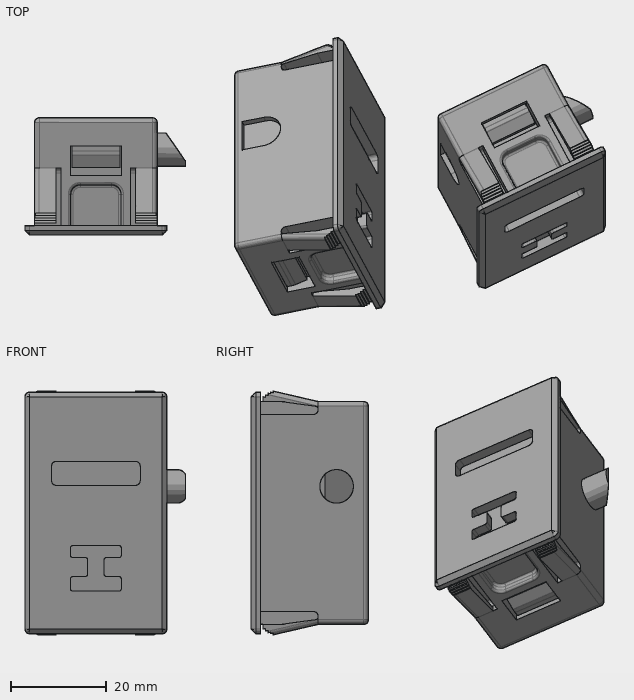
import cadquery as cq
import math


PLATE_WIDTH = 29.6
PLATE_HEIGHT = 50.4
PLATE_THICKNESS = 2.0
PLATE_EDGE = 1.0

TOTAL_DEPTH = 24.5
BODY_WIDTH = 25.6
BODY_HEIGHT = 46.5
BODY_RADIUS = 1.0
HALF_WIDTH = BODY_WIDTH / 2
HALF_HEIGHT = BODY_HEIGHT / 2

CLIP_ROOT_Y = 14.0
CLIP_WIDTH = 4.5
CLIP_GAP = 1.05
CLIP_SPAN = 50.86
CLIP_TOP = CLIP_SPAN / 2
CLIP_PEAK_Y = 4.6
CLIP_TIP_Y = 2.5
CLIP_KNEE_Y = 6.1
CLIP_ROOT_THICKNESS = 1.0
CLIP_ROOT_RADIUS = 0.6
CLIP_EDGE_RADIUS = 0.98
TOOTH_TIP_DROPS = (0.25, 0.45, 0.8, 1.2)
TOOTH_RISE = 0.07
SLOT_DEPTH = 2.7
SLOT_RADIUS = 1.0

WINDOW_WIDTH = 10.6
WINDOW_FRONT_Y = 12.5
WINDOW_BACK_Y = 18.6
WINDOW_DEPTH = 3.0
RAMP_SIDE_GAP = 0.27
RAMP_TOP_DEPTH = 1.2
RAMP_FLAT_LENGTH = 1.0
RAMP_FRONT_Y = 14.15
RAMP_ANGLE = 15.0
RAMP_RADIUS = 3.5

RECESS_WIDTH = 10.5
RECESS_BACK_Y = 10.5
RECESS_DEPTH = 2.0
RECESS_CORNER_RADIUS = 2.0
RECESS_FILLET = 0.5

BOLT_Y = 17.85
BOLT_Z = 5.55
BOLT_RADIUS = 3.5
BOLT_PROJECTION = 3.9
BOLT_TIP_X = PLATE_WIDTH / 2 + BOLT_PROJECTION
BOLT_TIP_LENGTH = 1.1
BOLT_SLANT_RUN = 4.1
BOLT_SHOULDER_X = BOLT_TIP_X - BOLT_SLANT_RUN
POCKET_RADIUS = 3.7
POCKET_BACK_Y = 22.6
POCKET_DEPTH = 1.3

FRONT_RECESS_DEPTH = 2.0
BAR_WIDTH = 18.5
BAR_HEIGHT = 5.0
BAR_Z = 8.25
BAR_RADIUS = 1.0
SYMBOL_WIDTH = 10.6
SYMBOL_TOP_Z = -6.8
SYMBOL_UPPER_HEIGHT = 2.5
SYMBOL_WEB_HEIGHT = 3.95
SYMBOL_LOWER_HEIGHT = 3.05
SYMBOL_WEB_WIDTH = 3.4
SYMBOL_RADIUS = 0.5


def box(x_range, y_range, z_range):
    """Axis-aligned box between pairs of limits."""
    size = [high - low for low, high in (x_range, y_range, z_range)]
    corner = (x_range[0], y_range[0], z_range[0])
    return cq.Workplane("XY").box(*size, centered=False).translate(corner)


def yz_prism(points, x_range):
    """Closed outline of (y, z) points, extruded between two X limits."""
    outline = cq.Workplane("YZ", origin=(x_range[0], 0, 0)).polyline(points).close()
    return outline.extrude(x_range[1] - x_range[0])


def both_ends(shape):
    """The shape together with its copy on the opposite Z end."""
    return shape.union(shape.mirror("XY"))


def all_corners(shape):
    """The shape repeated at the four X-Z corners of the body."""
    return both_ends(shape.union(shape.mirror("YZ")))


def make_plate():
    plate = cq.Workplane("XZ").rect(PLATE_WIDTH, PLATE_HEIGHT).extrude(-PLATE_THICKNESS)
    return plate.edges("|Y").fillet(PLATE_EDGE).faces("<Y").chamfer(PLATE_EDGE)


def make_body():
    outline = cq.Workplane("XZ", origin=(0, PLATE_THICKNESS, 0)).rect(BODY_WIDTH, BODY_HEIGHT)
    body = outline.extrude(PLATE_THICKNESS - TOTAL_DEPTH)
    return body.edges("|Y").fillet(BODY_RADIUS).faces(">Y").edges().fillet(BODY_RADIUS)


def make_clip_slot():
    """Corner slot under and beside the clip at the +X, +Z corner."""
    slot = box(
        (HALF_WIDTH - CLIP_WIDTH - CLIP_GAP, HALF_WIDTH),
        (PLATE_THICKNESS, CLIP_ROOT_Y),
        (HALF_HEIGHT - SLOT_DEPTH, HALF_HEIGHT),
    )
    return slot.edges("|X and >Y and <Z").fillet(SLOT_RADIUS)


def make_clip():
    """Clip at the +X, +Z corner: a wedge rising toward the plate, with a toothed tip."""
    rise_per_length = (CLIP_TOP - HALF_HEIGHT) / (CLIP_ROOT_Y - CLIP_PEAK_Y)
    blank_top = CLIP_TOP + rise_per_length * (CLIP_PEAK_Y - CLIP_TIP_Y)
    underside_z = HALF_HEIGHT - CLIP_ROOT_THICKNESS
    arc_inset = CLIP_ROOT_RADIUS * (1 - math.sqrt(0.5))
    blank = (
        cq.Workplane("YZ", origin=(HALF_WIDTH - CLIP_WIDTH, 0, 0))
        .moveTo(CLIP_ROOT_Y, HALF_HEIGHT)
        .lineTo(CLIP_TIP_Y, blank_top)
        .lineTo(CLIP_TIP_Y, HALF_HEIGHT)
        .lineTo(CLIP_KNEE_Y, HALF_HEIGHT)
        .lineTo(CLIP_ROOT_Y - CLIP_ROOT_RADIUS, underside_z)
        .threePointArc(
            (CLIP_ROOT_Y - arc_inset, underside_z - arc_inset),
            (CLIP_ROOT_Y, underside_z - CLIP_ROOT_RADIUS),
        )
        .close()
        .extrude(CLIP_WIDTH)
    )
    top_outer_edge = cq.selectors.NearestToPointSelector(
        (HALF_WIDTH, (CLIP_ROOT_Y + CLIP_TIP_Y) / 2, (HALF_HEIGHT + blank_top) / 2)
    )
    rounded = blank.edges(top_outer_edge).fillet(CLIP_EDGE_RADIUS)

    pitch = (CLIP_PEAK_Y - CLIP_TIP_Y) / len(TOOTH_TIP_DROPS)
    points = [(CLIP_PEAK_Y, blank_top)]
    for index, drop in enumerate(TOOTH_TIP_DROPS):
        tip_z = CLIP_TOP - drop
        points.append((CLIP_PEAK_Y - index * pitch, tip_z - TOOTH_RISE))
        points.append((CLIP_PEAK_Y - (index + 1) * pitch, tip_z))
    points.append((CLIP_TIP_Y, blank_top))
    return rounded.cut(yz_prism(points, (HALF_WIDTH - CLIP_WIDTH, HALF_WIDTH)))


def make_window():
    """Window in the +Z end, less the ramp that stands in it."""
    half_window = WINDOW_WIDTH / 2
    floor_z = HALF_HEIGHT - WINDOW_DEPTH
    window = box(
        (-half_window, half_window),
        (WINDOW_FRONT_Y, WINDOW_BACK_Y),
        (floor_z, HALF_HEIGHT),
    )
    half_ramp = half_window - RAMP_SIDE_GAP
    angle = math.radians(RAMP_ANGLE)
    crest_z = HALF_HEIGHT - RAMP_TOP_DEPTH
    crest_y = WINDOW_BACK_Y - RAMP_FLAT_LENGTH - RAMP_RADIUS * math.tan(angle / 2)
    front_z = crest_z - (crest_y - RAMP_FRONT_Y) * math.tan(angle)
    ramp = yz_prism(
        [
            (WINDOW_BACK_Y, floor_z),
            (WINDOW_BACK_Y, crest_z),
            (crest_y, crest_z),
            (RAMP_FRONT_Y, front_z),
            (RAMP_FRONT_Y, floor_z),
        ],
        (-half_ramp, half_ramp),
    )
    crest = cq.selectors.NearestToPointSelector((0, crest_y, crest_z))
    return window.cut(ramp.edges(crest).fillet(RAMP_RADIUS))


def cut_thumb_recesses(body):
    """Cut a thumb recess into each Z end of the body and round its rim and floor."""
    half_recess = RECESS_WIDTH / 2
    floor_z = HALF_HEIGHT - RECESS_DEPTH
    recess = box(
        (-half_recess, half_recess),
        (PLATE_THICKNESS, RECESS_BACK_Y),
        (floor_z, HALF_HEIGHT),
    )
    recess = recess.edges("|Z and >Y").fillet(RECESS_CORNER_RADIUS)
    body = body.cut(both_ends(recess))
    for edge_z in (HALF_HEIGHT, floor_z, -floor_z, -HALF_HEIGHT):
        back_edge = cq.selectors.NearestToPointSelector((0, RECESS_BACK_Y, edge_z))
        body = body.edges(back_edge).fillet(RECESS_FILLET)
    return body


def make_bolt():
    """Round bolt with a slanted striking face."""
    front_y = BOLT_Y - BOLT_RADIUS
    back_y = BOLT_Y + BOLT_RADIUS
    bolt = (
        cq.Workplane("YZ", origin=(HALF_WIDTH, 0, 0))
        .center(BOLT_Y, BOLT_Z)
        .circle(BOLT_RADIUS)
        .extrude(BOLT_TIP_X - HALF_WIDTH)
    )
    slant = (
        cq.Workplane("XY", origin=(0, 0, BOLT_Z))
        .moveTo(BOLT_TIP_X, front_y + BOLT_TIP_LENGTH)
        .lineTo(BOLT_SHOULDER_X, back_y)
        .lineTo(BOLT_TIP_X, back_y)
        .close()
        .extrude(BOLT_RADIUS, both=True)
    )
    return bolt.cut(slant)


def make_side_pocket():
    """D-shaped pocket in the -X side, round toward the plate and flat behind."""
    return (
        cq.Workplane("YZ", origin=(-HALF_WIDTH, 0, 0))
        .moveTo(POCKET_BACK_Y, BOLT_Z + POCKET_RADIUS)
        .lineTo(BOLT_Y, BOLT_Z + POCKET_RADIUS)
        .threePointArc((BOLT_Y - POCKET_RADIUS, BOLT_Z), (BOLT_Y, BOLT_Z - POCKET_RADIUS))
        .lineTo(POCKET_BACK_Y, BOLT_Z - POCKET_RADIUS)
        .close()
        .extrude(POCKET_DEPTH)
    )


def make_front_bar():
    bar = cq.Workplane("XZ", origin=(0, 0, BAR_Z)).rect(BAR_WIDTH, BAR_HEIGHT)
    return bar.extrude(-FRONT_RECESS_DEPTH).edges("|Y").fillet(BAR_RADIUS)


def make_front_symbol():
    """I-shaped recess: two bars joined by a narrow web."""
    upper_z = SYMBOL_TOP_Z - SYMBOL_UPPER_HEIGHT
    lower_z = upper_z - SYMBOL_WEB_HEIGHT
    y_range = (0, FRONT_RECESS_DEPTH)
    half = SYMBOL_WIDTH / 2
    half_web = SYMBOL_WEB_WIDTH / 2
    symbol = (
        box((-half, half), y_range, (upper_z, SYMBOL_TOP_Z))
        .union(box((-half_web, half_web), y_range, (lower_z, upper_z)))
        .union(box((-half, half), y_range, (lower_z - SYMBOL_LOWER_HEIGHT, lower_z)))
    )
    return symbol.edges("|Y").fillet(SYMBOL_RADIUS)


body = make_body().cut(all_corners(make_clip_slot())).cut(both_ends(make_window()))
body = cut_thumb_recesses(body).cut(make_side_pocket())

result = (
    body.union(all_corners(make_clip()))
    .union(make_plate())
    .union(make_bolt())
    .cut(make_front_bar())
    .cut(make_front_symbol())
)